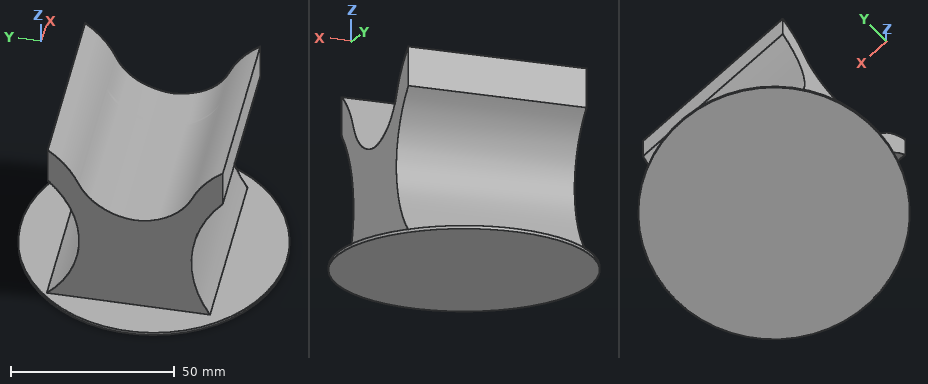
import cadquery as cq
import math

disc_diameter = 83.0
disc_thickness = 1.0

cradle_length = 58.8
total_height = 60.2
lip_half_width = 27.3
lip_underside = 47.6
waist_half_width = 17.5
back_foot = 27.6
front_foot = 23.3
back_waist_height = 24.3
front_waist_height = 21.7

trough_bottom = 35.95
trough_edge_height = 47.6
trough_middle = (10.0, 39.0)
lip_arc_middle = (20.75, 53.5)

pocket_start = 14.3
pocket_ramp_length = 1.1
pocket_low_edge = 6.2
pocket_middle = 12.9
pocket_depth = 0.2

half_length = cradle_length / 2


def make_cradle():
    """Hourglass block with the trough along its top."""
    profile = (
        cq.Workplane("YZ", origin=(-half_length, 0, 0))
        .moveTo(0, trough_bottom)
        .threePointArc(trough_middle, (waist_half_width, trough_edge_height))
        .threePointArc(lip_arc_middle, (lip_half_width, total_height))
        .lineTo(lip_half_width, lip_underside)
        .threePointArc((waist_half_width, back_waist_height), (back_foot, disc_thickness))
        .lineTo(back_foot, 0)
        .lineTo(-front_foot, 0)
        .lineTo(-front_foot, disc_thickness)
        .threePointArc((-waist_half_width, front_waist_height), (-lip_half_width, lip_underside))
        .lineTo(-lip_half_width, total_height)
        .threePointArc((-lip_arc_middle[0], lip_arc_middle[1]), (-waist_half_width, trough_edge_height))
        .threePointArc((-trough_middle[0], trough_middle[1]), (0, trough_bottom))
        .close()
    )
    return profile.extrude(cradle_length)


def arc_center(first, second, third):
    """Center of the circle through three points."""
    (y1, z1), (y2, z2), (y3, z3) = first, second, third
    dy2, dz2, dy3, dz3 = y2 - y1, z2 - z1, y3 - y1, z3 - z1
    square2 = dy2 ** 2 + dz2 ** 2
    square3 = dy3 ** 2 + dz3 ** 2
    cross = 2 * (dy2 * dz3 - dy3 * dz2)
    center_y = y1 + (dz3 * square2 - dz2 * square3) / cross
    center_z = z1 + (dy2 * square3 - dy3 * square2) / cross
    return center_y, center_z


def make_relief_pocket():
    """Cutter for the +Y pocket: a floor ramping down from the trough wall, then level to the end."""
    low_end = (0, trough_bottom)
    high_edge = (waist_half_width, trough_edge_height)
    center_y, center_z = arc_center(low_end, trough_middle, high_edge)
    radius = math.hypot(center_y, center_z - trough_bottom)

    def wall_point(y, depth=0):
        """Point at the given depth behind the trough wall, measured square to the wall at y."""
        angle = math.asin((y - center_y) / radius)
        reach = radius + depth
        return center_y + reach * math.sin(angle), center_z - reach * math.cos(angle)

    def section(x, depth):
        return (
            cq.Workplane("YZ", origin=(x, 0, 0))
            .moveTo(*wall_point(pocket_low_edge))
            .threePointArc(wall_point(pocket_middle, depth), high_edge)
            .close()
        )

    level_start = pocket_start + pocket_ramp_length
    ramp_wires = [section(pocket_start, 0).val(), section(level_start, pocket_depth).val()]
    ramp = cq.Workplane(cq.Solid.makeLoft(ramp_wires, True))
    level = section(level_start, pocket_depth).extrude(half_length - level_start)
    return ramp.union(level)


disc = cq.Workplane("XY").circle(disc_diameter / 2).extrude(disc_thickness)
pocket = make_relief_pocket()
result = disc.union(make_cradle()).cut(pocket).cut(pocket.mirror("XZ"))